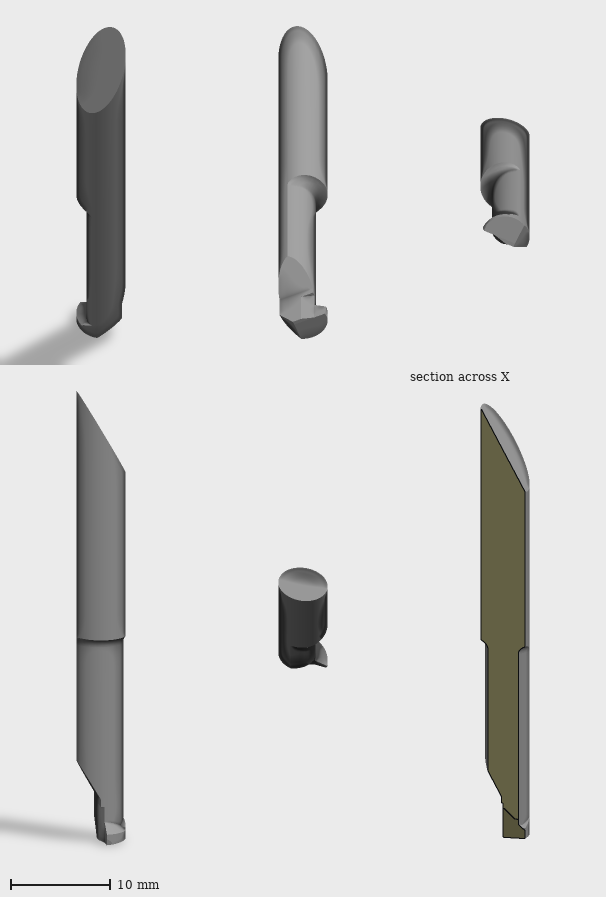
import cadquery as cq
import math


length = 46.6
diameter = 5.0
radius = diameter / 2
bevel_angle = 30.0
bevel_rise = diameter / math.tan(math.radians(bevel_angle))

neck_shift = 1.28
neck_top = 21.25
neck_fillet = 1.0

rake_y = 0.25
flat_start = 8.4
flat_end = flat_start - (radius - rake_y) / math.tan(math.radians(bevel_angle))

head_edge_height = 1.1
head_slope = 0.78
shoulder_start_x = -0.5
shoulder_start_z = 1.35
shoulder_end_x = 0.65
shoulder_end_z = 2.15
nose_land = 0.65
nose_setback = 0.15
end_relief = 0.25
rake_drop = 0.35
rake_land_x = -1.15
rake_top = 3.73
chamfer_height = 2.0
chamfer_foot_x = 1.02

seat_x = 0.1
seat_top = 3.1
seat_shoulder = 2.2
seat_front_y = -0.15
seat_slope_end_y = -1.2

margin = 0.95
reach = radius + margin


def side_prism(points):
    """Extrude a (y, z) outline along X across the whole bar."""
    return cq.Workplane("YZ").polyline(points).close().extrude(reach, both=True)


def front_prism(points):
    """Extrude an (x, z) outline along Y across the whole bar."""
    return cq.Workplane("XZ").polyline(points).close().extrude(reach, both=True)


def make_neck_envelope():
    """Neck cylinder flaring through a concave fillet into the full shank."""
    flare_radius = radius + neck_fillet
    outer_radius = radius + neck_shift + margin
    diagonal = neck_fillet * math.sqrt(0.5)
    fillet_middle = (flare_radius - diagonal, neck_top - neck_fillet + diagonal)
    return (
        cq.Workplane("XZ")
        .lineTo(radius, 0)
        .lineTo(radius, neck_top - neck_fillet)
        .threePointArc(fillet_middle, (flare_radius, neck_top))
        .lineTo(outer_radius, neck_top)
        .lineTo(outer_radius, length)
        .lineTo(0, length)
        .close()
        .revolve(360, (0, 0), (0, 1))
        .translate((neck_shift, 0, 0))
    )


def make_head_envelope():
    """Conical shoulder around the nose, plus a wedge rising towards the neck."""
    cone = (
        cq.Workplane("XZ")
        .polyline([
            (0, 0),
            (radius, 0),
            (radius, head_edge_height),
            (0, head_edge_height + head_slope * radius),
        ])
        .close()
        .revolve(360, (0, 0), (0, 1))
    )
    wedge = front_prism([
        (shoulder_start_x, 0),
        (shoulder_end_x, 0),
        (shoulder_end_x, shoulder_end_z),
        (shoulder_start_x, shoulder_start_z),
    ])
    return cone.union(wedge)


def make_bar_blank():
    """Complete outer shape of the bar and its tip."""
    shank = cq.Workplane("XY").circle(radius).extrude(length)
    blank = shank.intersect(make_neck_envelope()).union(shank.intersect(make_head_envelope()))

    rear_bevel = side_prism([
        (radius, length),
        (-radius, length - bevel_rise),
        (-reach, length - bevel_rise),
        (-reach, length + margin),
        (radius, length + margin),
    ])
    front_flat = side_prism([
        (radius, flat_start),
        (rake_y, flat_end),
        (rake_y, -margin),
        (reach, -margin),
        (reach, flat_start),
    ])
    rake_face = (
        cq.Workplane("XY")
        .polyline([
            (-radius, rake_y - rake_drop),
            (rake_land_x, rake_y - rake_drop),
            (seat_x, rake_y),
            (seat_x, rake_y + margin),
            (-radius, rake_y + margin),
        ])
        .close()
        .extrude(rake_top)
    )
    corner_chamfer = front_prism([(radius, chamfer_height), (chamfer_foot_x, 0), (radius, 0)])
    nose_relief = front_prism([(-radius, nose_land), (nose_setback - radius, 0), (-radius, 0)])
    end_face = side_prism([(rake_y - rake_drop, 0), (-radius, end_relief), (-radius, 0)])

    for cutter in (rear_bevel, front_flat, rake_face, corner_chamfer, nose_relief, end_face):
        blank = blank.cut(cutter)
    return blank


def make_tip_region():
    """Space taken by the tip, bounded by its seat."""
    profile = side_prism([
        (reach, -margin),
        (reach, seat_top),
        (seat_front_y, seat_top),
        (seat_slope_end_y, seat_shoulder),
        (-reach, seat_shoulder),
        (-reach, -margin),
    ])
    seat_side = front_prism([
        (-reach, -margin),
        (seat_x, -margin),
        (seat_x, seat_top),
        (-reach, seat_top),
    ])
    return profile.intersect(seat_side)


bar_blank = make_bar_blank()
tip_region = make_tip_region()
holder = bar_blank.cut(tip_region)
cutting_tip = bar_blank.intersect(tip_region)

result = cq.Compound.makeCompound([holder.solids().val(), cutting_tip.solids().val()])